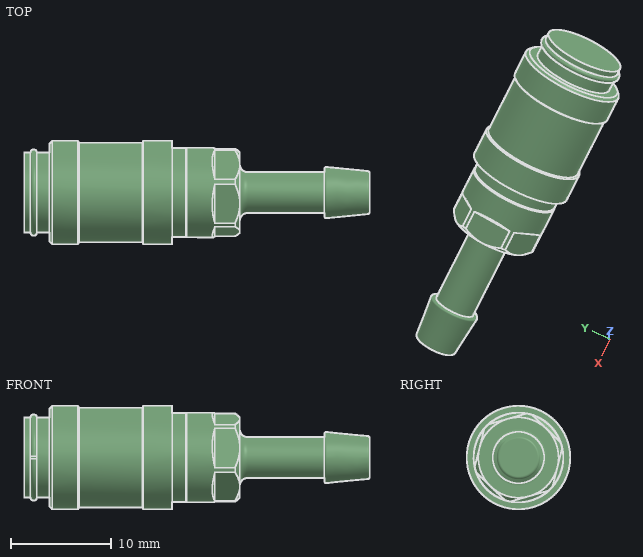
import cadquery as cq
import math

overall_length = 34.55

plug_radius = 8.0 / 2
ring_wire_diameter = 0.65
ring_outer_radius = 4.32
ring_center_x = 0.97
ring_gap = 0.28

sleeve_start_x = 2.52
sleeve_end_x = 14.8
sleeve_radius = 10.35 / 2
sleeve_chamfer = 0.3
recess_start_x = 5.4
recess_end_x = 11.92
recess_radius = 10.0 / 2
recess_wall_run = 0.1

shank_radius = 8.9 / 2
groove_width = 0.1
groove_depth = 0.07
collar_start_x = 16.25
collar_end_x = 21.55
collar_radius = 9.0 / 2
collar_chamfer = 0.5
hex_flat_start_x = 19.07
hex_across_flats = 8.0
hex_ramp_tilt = 30.0
hex_turn = 14.0
hex_sides = 6

tail_radius = 4.1 / 2
tail_fillet = 0.75
barb_start_x = 30.0
barb_radius = 2.6
barb_edge_fillet = 0.2
barb_tip_radius = 2.15
barb_tip_fillet = 0.28


def revolve_about_x(outline):
    return outline.revolve(360, (0, 0, 0), (1, 0, 0))


def make_turned_blank():
    """Revolve the plug, sleeve, shank and collar."""
    profile = [
        (0, 0),
        (0, plug_radius),
        (sleeve_start_x, plug_radius),
        (sleeve_start_x, sleeve_radius - sleeve_chamfer),
        (sleeve_start_x + sleeve_chamfer, sleeve_radius),
        (recess_start_x, sleeve_radius),
        (recess_start_x + recess_wall_run, recess_radius),
        (recess_end_x - recess_wall_run, recess_radius),
        (recess_end_x, sleeve_radius),
        (sleeve_end_x, sleeve_radius),
        (sleeve_end_x, shank_radius),
        (collar_start_x - groove_width, shank_radius),
        (collar_start_x - groove_width, shank_radius - groove_depth),
        (collar_start_x, shank_radius - groove_depth),
        (collar_start_x, collar_radius),
        (collar_end_x - collar_chamfer, collar_radius),
        (collar_end_x, collar_radius - collar_chamfer),
        (collar_end_x, 0),
    ]
    return revolve_about_x(cq.Workplane("XY").polyline(profile).close())


def make_hose_tail():
    """Revolve the tail with its filleted root and tapered barb."""
    fillet_end = (collar_end_x + tail_fillet, tail_radius)
    fillet_middle = (
        collar_end_x + tail_fillet * (1 - math.sin(math.radians(45))),
        tail_radius + tail_fillet * (1 - math.cos(math.radians(45))),
    )
    outline = (
        cq.Workplane("XY")
        .moveTo(collar_end_x, 0)
        .lineTo(collar_end_x, tail_radius + tail_fillet)
        .threePointArc(fillet_middle, fillet_end)
        .lineTo(barb_start_x, tail_radius)
        .lineTo(barb_start_x, barb_radius)
        .lineTo(overall_length, barb_tip_radius)
        .lineTo(overall_length, 0)
        .close()
    )
    tail = revolve_about_x(outline)
    tail = tail.faces(">X").edges().fillet(barb_tip_fillet)
    barb_edge = cq.selectors.RadiusNthSelector(-2)
    return tail.edges("%CIRCLE").edges(barb_edge).fillet(barb_edge_fillet)


def make_flat_cutter():
    """Make the tool for one hexagon flat, facing -Y, with a ramp at its sleeve end."""
    apothem = hex_across_flats / 2
    outer_radius = sleeve_radius
    ramp_run = (outer_radius - apothem) * math.tan(math.radians(hex_ramp_tilt))
    profile = [
        (hex_flat_start_x, -apothem),
        (hex_flat_start_x - ramp_run, -outer_radius),
        (collar_end_x, -outer_radius),
        (collar_end_x, -apothem),
    ]
    return cq.Workplane("XY").polyline(profile).close().extrude(collar_radius, both=True)


def cut_hexagon(body):
    cutter = make_flat_cutter()
    for side in range(hex_sides):
        angle = side * 360 / hex_sides - hex_turn
        body = body.cut(cutter.rotate((0, 0, 0), (1, 0, 0), angle))
    return body


def make_ring_groove():
    """Make the square-cornered groove that holds the snap ring."""
    floor_radius = ring_outer_radius - ring_wire_diameter
    return (
        cq.Workplane("YZ", origin=(ring_center_x - ring_wire_diameter / 2, 0, 0))
        .circle(sleeve_radius)
        .circle(floor_radius)
        .extrude(ring_wire_diameter)
    )


def make_coupling():
    body = make_turned_blank().cut(make_ring_groove())
    return cut_hexagon(body).union(make_hose_tail())


def make_snap_ring():
    """Make the round-wire ring, split by a gap on its -Y side."""
    wire_radius = ring_wire_diameter / 2
    wire_path_radius = ring_outer_radius - wire_radius
    wire_section = cq.Workplane("XY").moveTo(ring_center_x, wire_path_radius).circle(wire_radius)
    ring = revolve_about_x(wire_section)
    gap_side = 2 * ring_wire_diameter
    gap = cq.Workplane("XY").box(gap_side, gap_side, ring_gap)
    gap = gap.translate((ring_center_x, -wire_path_radius, 0))
    return ring.cut(gap)


coupling = make_coupling()
snap_ring = make_snap_ring()
result = cq.Compound.makeCompound([coupling.val(), snap_ring.val()])